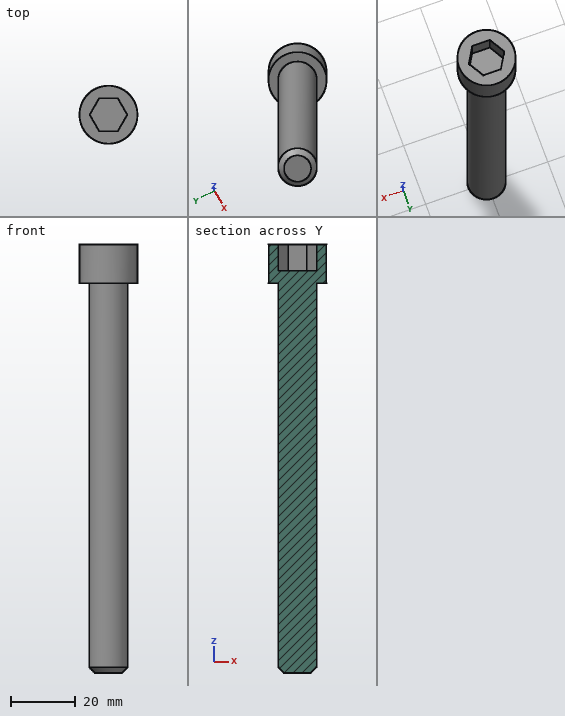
import cadquery as cq
import math

total_length = 132.0
head_diameter = 18.0
head_height = 12.0
shank_diameter = 12.0
tip_chamfer = 1.8
hex_across_flats = 10.0
hex_depth = 8.0

hex_across_corners = hex_across_flats / math.cos(math.pi / 6)

tip_z = -total_length / 2
head_top_z = total_length / 2
head_bottom_z = head_top_z - head_height

shank = (
    cq.Workplane("XY", origin=(0, 0, tip_z))
    .circle(shank_diameter / 2)
    .extrude(head_bottom_z - tip_z)
    .faces("<Z")
    .chamfer(tip_chamfer)
)
head = (
    cq.Workplane("XY", origin=(0, 0, head_bottom_z))
    .circle(head_diameter / 2)
    .extrude(head_height)
)
socket = (
    cq.Workplane("XY", origin=(0, 0, head_top_z))
    .polygon(6, hex_across_corners)
    .extrude(-hex_depth)
)
result = shank.union(head).cut(socket)